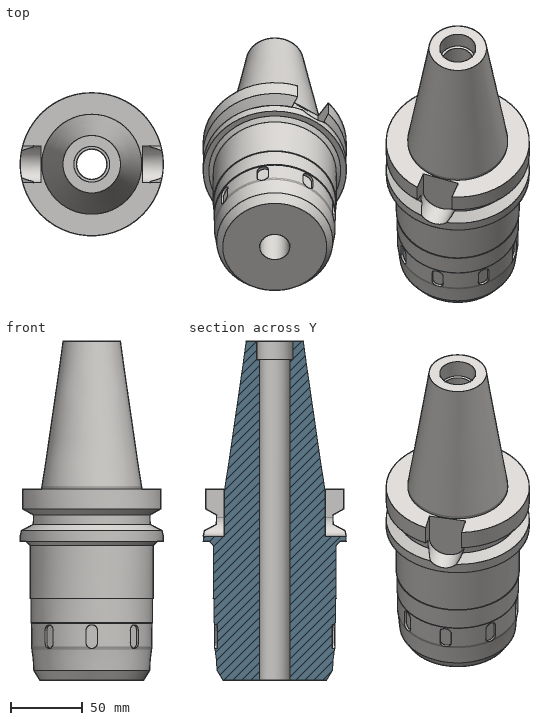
import cadquery as cq
import math

GAUGE_Z = 135.0
TAPER_LENGTH = 101.8
TOP_Z = GAUGE_Z + TAPER_LENGTH
TAPER_RATIO = 7 / 24

GAUGE_RADIUS = 69.85 / 2
SMALL_END_RADIUS = GAUGE_RADIUS - TAPER_LENGTH * TAPER_RATIO / 2

FLANGE_RADIUS = 50.0
GAUGE_TO_FLANGE_TOP = 1.5
GAUGE_TO_FLANGE_BOTTOM = 38.0
GAUGE_TO_GROOVE_CENTRE = 22.9
FLANGE_TOP_Z = GAUGE_Z - GAUGE_TO_FLANGE_TOP
FLANGE_BOTTOM_Z = GAUGE_Z - GAUGE_TO_FLANGE_BOTTOM
GROOVE_RADIUS = 42.7
GROOVE_CENTRE_Z = GAUGE_Z - GAUGE_TO_GROOVE_CENTRE
GROOVE_FLOOR_HALF_WIDTH = 3.3
GROOVE_FLANK_ANGLE = 30.0
GROOVE_FLANK_HEIGHT = (FLANGE_RADIUS - GROOVE_RADIUS) * math.tan(math.radians(GROOVE_FLANK_ANGLE))
GROOVE_MOUTH_HALF_WIDTH = GROOVE_FLOOR_HALF_WIDTH + GROOVE_FLANK_HEIGHT

DRIVE_SLOT_COUNT = 2
DRIVE_SLOT_WIDTH = 25.7
DRIVE_SLOT_FLOOR_X = 35.4
DRIVE_SLOT_BOTTOM_Z = 100.7

BODY_RADIUS = 43.0
FLANGE_SHOULDER_HEIGHT = 3.0
BODY_TOP_Z = FLANGE_BOTTOM_Z - FLANGE_SHOULDER_HEIGHT
BODY_BOTTOM_Z = 57.0

NUT_RADIUS = 42.5
NUT_EDGE_BREAK_TOP_Z = 40.4
NUT_BAND_TOP_Z = 39.8
NUT_BAND_RADIUS = 42.2
NUT_BAND_BOTTOM_Z = 23.2
NUT_TAPER_TOP_Z = 22.0
NUT_TAPER_TOP_RADIUS = 41.9
NUT_TAPER_BOTTOM_RADIUS = 40.5
NOSE_CHAMFER_HEIGHT = 7.0
NOSE_RADIUS = 36.3

WRENCH_SLOT_COUNT = 8
WRENCH_SLOT_WIDTH = 8.0
WRENCH_SLOT_LENGTH = 16.5
WRENCH_SLOT_CENTRE_Z = 30.5
WRENCH_SLOT_FLOOR_RADIUS = 40.3

BORE_RADIUS = 10.5
COUNTERBORE_RADIUS = 12.5
COUNTERBORE_DEPTH = 13.0


def make_turned_body():
    """Revolve the half profile of the shank, flange, body and nut about Z."""
    profile = [
        (0, 0),
        (NOSE_RADIUS, 0),
        (NUT_TAPER_BOTTOM_RADIUS, NOSE_CHAMFER_HEIGHT),
        (NUT_TAPER_TOP_RADIUS, NUT_TAPER_TOP_Z),
        (NUT_BAND_RADIUS, NUT_BAND_BOTTOM_Z),
        (NUT_BAND_RADIUS, NUT_BAND_TOP_Z),
        (NUT_RADIUS, NUT_EDGE_BREAK_TOP_Z),
        (NUT_RADIUS, BODY_BOTTOM_Z),
        (BODY_RADIUS, BODY_BOTTOM_Z),
        (BODY_RADIUS, BODY_TOP_Z),
        (BODY_RADIUS + FLANGE_SHOULDER_HEIGHT, FLANGE_BOTTOM_Z),
        (FLANGE_RADIUS, FLANGE_BOTTOM_Z),
        (FLANGE_RADIUS, GROOVE_CENTRE_Z - GROOVE_MOUTH_HALF_WIDTH),
        (GROOVE_RADIUS, GROOVE_CENTRE_Z - GROOVE_FLOOR_HALF_WIDTH),
        (GROOVE_RADIUS, GROOVE_CENTRE_Z + GROOVE_FLOOR_HALF_WIDTH),
        (FLANGE_RADIUS, GROOVE_CENTRE_Z + GROOVE_MOUTH_HALF_WIDTH),
        (FLANGE_RADIUS, FLANGE_TOP_Z),
        (GAUGE_RADIUS, FLANGE_TOP_Z),
        (GAUGE_RADIUS, GAUGE_Z),
        (SMALL_END_RADIUS, TOP_Z),
        (0, TOP_Z),
    ]
    return cq.Workplane("YZ").polyline(profile).close().revolve(360, (0, 0, 0), (0, 1, 0))


def make_drive_slot():
    """Round-bottomed slot, open at the top and outwards, on the +X side of the flange."""
    half_width = DRIVE_SLOT_WIDTH / 2
    arc_centre_z = DRIVE_SLOT_BOTTOM_Z + half_width
    return (
        cq.Workplane("YZ", origin=(DRIVE_SLOT_FLOOR_X, 0, 0))
        .moveTo(-half_width, FLANGE_TOP_Z)
        .lineTo(-half_width, arc_centre_z)
        .threePointArc((0, DRIVE_SLOT_BOTTOM_Z), (half_width, arc_centre_z))
        .lineTo(half_width, FLANGE_TOP_Z)
        .close()
        .extrude(FLANGE_RADIUS)
    )


def make_wrench_slot():
    """Upright round-ended slot with a flat floor, on the +X side of the nut."""
    return (
        cq.Workplane("YZ", origin=(WRENCH_SLOT_FLOOR_RADIUS, 0, WRENCH_SLOT_CENTRE_Z))
        .slot2D(WRENCH_SLOT_LENGTH, WRENCH_SLOT_WIDTH, 90)
        .extrude(BODY_RADIUS)
    )


def cut_around_axis(body, cutter, count):
    """Cut `count` equally spaced copies of the cutter about Z."""
    for index in range(count):
        body = body.cut(cutter.rotate((0, 0, 0), (0, 0, 1), index * 360 / count))
    return body


def cut_bore(body):
    """Through bore with a counterbore at the small end of the shank."""
    bore = cq.Workplane("XY").circle(BORE_RADIUS).extrude(TOP_Z)
    counterbore = (
        cq.Workplane("XY", origin=(0, 0, TOP_Z))
        .circle(COUNTERBORE_RADIUS)
        .extrude(-COUNTERBORE_DEPTH)
    )
    return body.cut(bore).cut(counterbore)


holder = make_turned_body()
holder = cut_around_axis(holder, make_drive_slot(), DRIVE_SLOT_COUNT)
holder = cut_around_axis(holder, make_wrench_slot(), WRENCH_SLOT_COUNT)
result = cut_bore(holder)